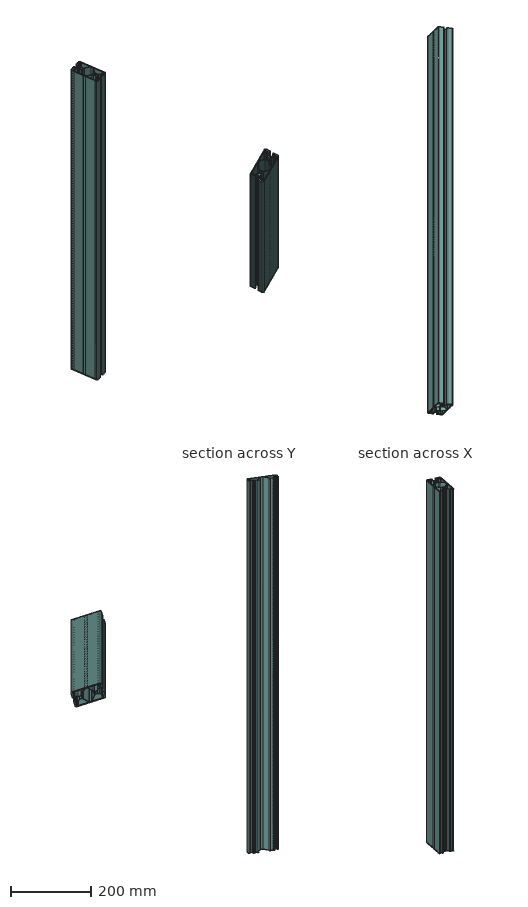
import cadquery as cq
import math

length = 1000.0
width = 80.0
depth = 40.0
corner_radius = 4.0
wall = 2.4

slot_half_opening = 4.0
slot_lip = 4.0
slot_mouth_radius = 2.0
chamber_half_height = 9.4
chamber_back = 6.0
slot_floor_depth = 11.0
floor_half_height = 4.5
groove_half_height = 1.5
groove_depth = 1.5

core_offset = width / 4
core_half_height = 4.0
core_inner_reach = 5.5
screw_hole_diameter = 6.8

web_axis_crossing = 21.0
web_thickness = 0.8

cavity_side_depth = 8.4
cavity_side_foot = 8.0
floor_plate_back = 5.4
floor_plate_half_height = 5.4

hollow_side_depth = 4.0
hollow_width = 2.5
hollow_foot = 12.0
hollow_height = 5.0

half_width = width / 2
half_depth = depth / 2
inner_wall = half_depth - wall
web_half_run = web_thickness / math.sqrt(2)
web_outer_crossing = web_axis_crossing + web_half_run
web_inner_crossing = web_axis_crossing - web_half_run


def mirrored_in_y(points):
    """Continue an upper half outline with its mirror image below the X axis."""
    return points + [(x, -y) for x, y in reversed(points)]


def prism(points):
    return cq.Workplane("XY").polyline(points).close().extrude(length)


def outer_block():
    return cq.Workplane("XY").rect(width, depth).extrude(length).edges("|Z").fillet(corner_radius)


def t_slot():
    """Slot in the +X side with a small V-groove along its floor."""
    floor_x = half_width - slot_floor_depth
    upper = [
        (half_width, slot_half_opening),
        (half_width - slot_lip, slot_half_opening),
        (half_width - slot_lip, chamber_half_height),
        (half_width - chamber_back, chamber_half_height),
        (floor_x, floor_half_height),
        (floor_x, groove_half_height),
    ]
    groove_tip = (floor_x - groove_depth, 0)
    lower = [(x, -y) for x, y in reversed(upper)]
    return prism(upper + [groove_tip] + lower)


def side_cavity():
    """Cavity in the +X, +Y quarter, between the long wall, the slot and the web."""
    side_x = half_width - cavity_side_depth
    plate_x = core_offset + floor_plate_back
    return prism([
        (side_x, inner_wall),
        (side_x, cavity_side_foot),
        (plate_x, floor_plate_half_height),
        (plate_x, core_half_height),
        (web_outer_crossing - core_half_height, core_half_height),
        (web_outer_crossing - inner_wall, inner_wall),
    ])


def corner_hollow():
    """Rectangular hollow in the +X, +Y corner."""
    return (
        cq.Workplane("XY")
        .center(half_width - hollow_side_depth, hollow_foot)
        .rect(-hollow_width, hollow_height, centered=False)
        .extrude(length)
    )


def middle_cavity():
    """Cavity between the two cores, bounded by the four webs."""
    core_x = core_offset - core_inner_reach
    web_top_x = web_inner_crossing - inner_wall
    right_upper = [(web_top_x, inner_wall), (core_x, web_inner_crossing - core_x)]
    right = mirrored_in_y(right_upper)
    left = [(-x, -y) for x, y in right]
    return prism(right + left)


def rounded_slot_mouths(body):
    """Round the four long edges where the slots open into the -X and +X sides."""
    for side in (-1, 1):
        for lip in (-1, 1):
            edge = cq.selectors.NearestToPointSelector(
                (side * half_width, lip * slot_half_opening, length / 2)
            )
            body = body.edges("|Z").edges(edge).fillet(slot_mouth_radius)
    return body


def screw_holes():
    centres = [(-core_offset, 0), (core_offset, 0)]
    return cq.Workplane("XY").pushPoints(centres).circle(screw_hole_diameter / 2).extrude(length)


def in_both_halves(tool):
    return tool.union(tool.mirror("YZ"))


def in_all_quarters(tool):
    return in_both_halves(tool.union(tool.mirror("XZ")))


profile = outer_block().cut(in_both_halves(t_slot()))
profile = rounded_slot_mouths(profile)
profile = profile.cut(in_all_quarters(side_cavity()))
profile = profile.cut(in_all_quarters(corner_hollow()))
profile = profile.cut(middle_cavity())
result = profile.cut(screw_holes())